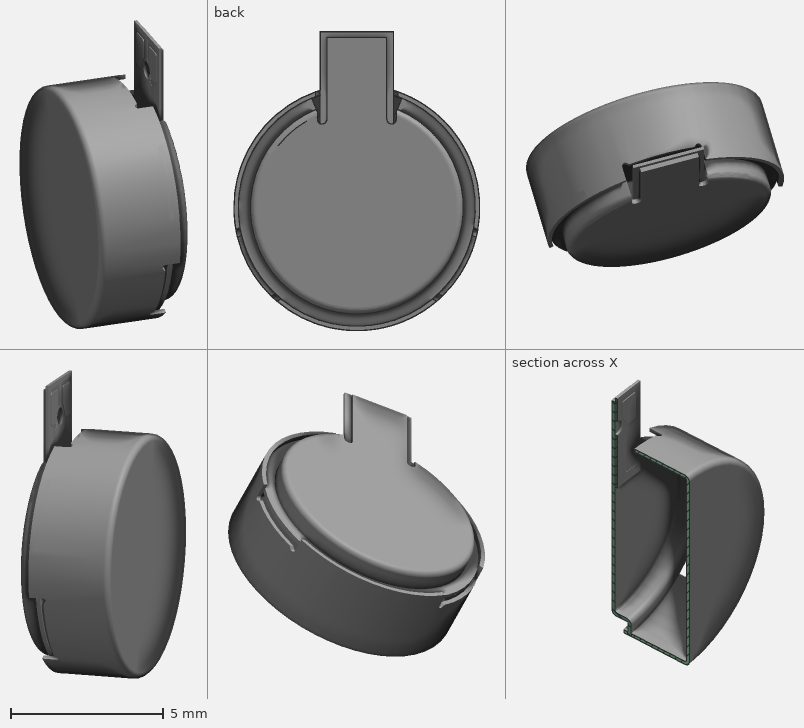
import cadquery as cq
import math


overall_height = 9.82

sheet = 0.15
edge_round = 0.21

housing_radius = 4.041
housing_inner_radius = housing_radius - sheet
housing_depth = 2.8

notch_angles = (90, 210, 330)
notch_half_width = 1.36
notch_depth = 0.48
relief_depth = 0.59
relief_radius = 0.1
tab_angles = (30, 150, 270)
tab_half_width = 1.24

cover_back = 0.5
cover_floor = cover_back - sheet
cover_radius = 3.5
cover_inner_radius = cover_radius - sheet
cover_inner_round = 0.11
flange_back = -0.19
flange_front = flange_back - sheet
flare_radius = 0.22

opening_half_angle = 22.4
slit_floor = 2.75
slit_outer = 1.3
tail_half_width = 0.98
tail_top = 5.6

circuit_half_width = 1.21
circuit_top = overall_height - housing_radius
circuit_bottom = 1.96
base_thickness = 0.09
base_front = cover_floor - base_thickness
film_thickness = 0.01
hole_radius = 0.29
hole_height = 4.51

window_outer = 1.05
window_inner = 0.11
window_top = 5.63
window_bottom = 2.36
neck_half_width = 0.48
neck_shoulder = 4.095

pad_outer = 0.96
pad_inner = 0.26
pad_top = 5.48
pad_bottom = 4.38
pad_bevel = 0.25
pad_round = 0.09
pad_thickness = 0.03
bevel_slope = math.tan(math.radians(28))



def front_plane(y):
    """Sketch plane at the given y: local axes are X and Z, and extrusion runs toward -Y."""
    return cq.Workplane("XZ", origin=(0, y, 0))


def disc(radius, y_back, y_front):
    """Round plate on the motor axis."""
    return front_plane(y_back).circle(radius).extrude(y_back - y_front)


def slab(x_min, x_max, z_min, z_max, y_back, thickness):
    """Flat rectangular plate that reaches from y_back toward -Y."""
    center = ((x_min + x_max) / 2, (z_min + z_max) / 2)
    return front_plane(y_back).center(*center).rect(x_max - x_min, z_max - z_min).extrude(thickness)


def turn(body, angle):
    """Turn a body about the motor axis, from +X toward +Z."""
    return body.rotate((0, 0, 0), (0, 1, 0), -angle)


def tab_block(angle):
    """Straight-sided block through the flange plane, from the motor axis outward past the housing."""
    block = slab(0, 2 * housing_radius, -tab_half_width, tab_half_width, flange_back, sheet)
    return turn(block, angle)



def notch_cutter(angle):
    """Rim notch with rounded corner reliefs that ramp back at 45 degrees to the notch floor."""
    arc_y = relief_radius - relief_depth
    arc_side = notch_half_width - relief_radius
    diagonal = relief_radius * math.sqrt(0.5)
    ramp_low_y = arc_y - diagonal
    ramp_low_side = arc_side - diagonal
    ramp_top_side = ramp_low_side - (-notch_depth - ramp_low_y)
    profile = (
        cq.Workplane("YZ")
        .moveTo(0, -notch_half_width)
        .lineTo(arc_y, -notch_half_width)
        .threePointArc((-relief_depth, -arc_side), (ramp_low_y, -ramp_low_side))
        .lineTo(-notch_depth, -ramp_top_side)
        .lineTo(-notch_depth, ramp_top_side)
        .lineTo(ramp_low_y, ramp_low_side)
        .threePointArc((-relief_depth, arc_side), (arc_y, notch_half_width))
        .lineTo(0, notch_half_width)
        .close()
    )
    return turn(profile.extrude(2 * housing_radius), angle)


def make_housing():
    cup = disc(housing_radius, 0, -housing_depth).faces("<Y").edges().fillet(edge_round)
    cavity = disc(housing_inner_radius, 0, sheet - housing_depth)
    cup = cup.cut(cavity.faces("<Y").edges().fillet(edge_round - sheet))
    for angle in notch_angles:
        cup = cup.cut(notch_cutter(angle))
    for angle in tab_angles:
        cup = cup.cut(tab_block(angle))
    return cup



def make_flange():
    """Ring plate that fits the housing bore, with three tabs that fill the housing slots."""
    flange = disc(housing_inner_radius, flange_back, flange_front)
    rim = disc(housing_radius, flange_back, flange_front)
    for angle in tab_angles:
        flange = flange.union(rim.intersect(tab_block(angle)))
    return flange


def flare_cutter():
    """Plug with a quarter-round rim, which rounds the inside of the wall into the flange."""
    arc_inset = flare_radius * (1 - math.sqrt(0.5))
    flare_end = flange_front + flare_radius
    profile = (
        cq.Workplane("XY")
        .moveTo(0, flange_front)
        .lineTo(cover_inner_radius + flare_radius, flange_front)
        .threePointArc(
            (cover_inner_radius + arc_inset, flange_front + arc_inset),
            (cover_inner_radius, flare_end),
        )
        .lineTo(0, flare_end)
        .close()
    )
    return profile.revolve(360, (0, 0, 0), (0, 1, 0))


def opening_cutter():
    """Sector with radial sides that opens the wall and the flange in front of the floor sheet."""
    reach = 2 * housing_radius
    spread = math.tan(math.radians(opening_half_angle))
    low = slit_floor * spread
    high = reach * spread
    corners = [(-low, slit_floor), (low, slit_floor), (high, reach), (-high, reach)]
    return front_plane(cover_floor).polyline(corners).close().extrude(cover_floor - flange_front)


def slit_cutter(side):
    """Slit with a round lower end between the tail and the cover; side is -1 or 1."""
    radius = (slit_outer - tail_half_width) / 2
    middle = side * (tail_half_width + radius)
    arc_height = slit_floor + radius
    round_end = front_plane(cover_back).center(middle, arc_height).circle(radius).extrude(sheet)
    return slab(middle - radius, middle + radius, arc_height, tail_top, cover_back, sheet).union(round_end)


def make_cover():
    dish = disc(cover_radius, cover_back, flange_front).faces(">Y").edges().fillet(edge_round)
    cover = dish.union(make_flange())
    cavity = disc(cover_inner_radius, cover_floor, flange_front)
    cover = cover.cut(cavity.faces(">Y").edges().fillet(cover_inner_round))
    cover = cover.cut(flare_cutter()).cut(opening_cutter())
    cover = cover.union(slab(-tail_half_width, tail_half_width, slit_floor, tail_top, cover_back, sheet))
    for side in (-1, 1):
        cover = cover.cut(slit_cutter(side))
    return cover



def circuit_layer(y_back, thickness):
    """Rectangular layer of the circuit with the round hole through it."""
    layer = slab(-circuit_half_width, circuit_half_width, circuit_bottom, circuit_top, y_back, thickness)
    hole = front_plane(y_back).center(0, hole_height).circle(hole_radius).extrude(thickness)
    return layer.cut(hole)


def pad(side):
    """Raised contact pad with a bevelled lower inner corner; side is -1 or 1."""
    corners = [
        (side * pad_outer, pad_bottom),
        (side * pad_outer, pad_top),
        (side * pad_inner, pad_top),
        (side * pad_inner, pad_bottom + pad_bevel / bevel_slope),
        (side * (pad_inner + pad_bevel), pad_bottom),
    ]
    plate = front_plane(base_front).polyline(corners).close().extrude(pad_thickness)
    return plate.edges("|Y").fillet(pad_round)


def window_cutter(side):
    """Film window around one pad, which leaves a tapered neck below the hole; side is -1 or 1."""
    neck_at_hole = neck_half_width - (hole_height - neck_shoulder) * bevel_slope
    corners = [
        (side * window_outer, window_bottom),
        (side * window_outer, window_top),
        (side * window_inner, window_top),
        (side * window_inner, hole_height),
        (side * neck_at_hole, hole_height),
        (side * neck_half_width, neck_shoulder),
        (side * neck_half_width, window_bottom),
    ]
    return front_plane(base_front).polyline(corners).close().extrude(film_thickness)


def make_circuit_base():
    base = circuit_layer(cover_floor, base_thickness)
    for side in (-1, 1):
        base = base.union(pad(side))
    return base


def make_circuit_film():
    film = circuit_layer(base_front, film_thickness)
    for side in (-1, 1):
        film = film.cut(window_cutter(side))
    return film


housing = make_housing()
cover = make_cover()
circuit_base = make_circuit_base()
circuit_film = make_circuit_film()

result = cq.Compound.makeCompound([housing.val(), cover.val(), circuit_base.val(), circuit_film.val()])